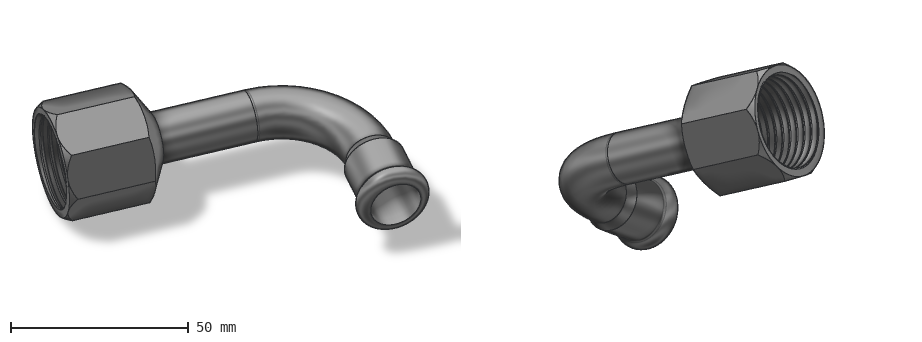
import cadquery as cq
import math

octagon_sides = 8
octagon_corner_radius = 17.3
octagon_tilt = 1.5
face_chamfer_length = 2.0
shoulder_start = 25.1
shoulder_end = 31.0
apothem = octagon_corner_radius * math.cos(math.pi / octagon_sides)

tube_radius = 15.0 / 2
bore_radius = 12.0 / 2
wall = tube_radius - bore_radius

thread_minor_radius = 26.9 / 2
thread_depth = 1.1
thread_pitch = 2.5
thread_turns = 9
groove_mouth_width = 2.0
groove_root_width = 0.1
thread_start_angle = 165
cutter_overlap = 0.2
inner_cone_slope = (shoulder_end - shoulder_start) / (octagon_corner_radius - tube_radius)
inner_cone_end = shoulder_end - wall
inner_cone_start = inner_cone_end - inner_cone_slope * (thread_minor_radius - bore_radius)

bend_radius = 26.5
bead_outer_radius = 10.7
overall_length = 96.8
overall_width = 65.3
stub_length = 0.6
press_axis_y = overall_length - bead_outer_radius
bend_start_y = press_axis_y - bend_radius
joint_y = bend_start_y - stub_length
press_radius = 17.9 / 2
press_cone_length = 3.0
press_end_x = overall_width - octagon_corner_radius * math.cos(math.radians(octagon_tilt))
bead_tube_radius = 3.0
bead_fillet = 0.9


def revolve_about_y(points):
    """Revolve a closed outline of (radius, y) points about the Y axis."""
    return cq.Workplane("XY").polyline(points).close().revolve(360, (0, 0, 0), (0, 1, 0))


def octagon_prism():
    corners = []
    for side in range(octagon_sides):
        angle = math.radians(octagon_tilt + side * 360 / octagon_sides)
        corners.append((octagon_corner_radius * math.cos(angle), octagon_corner_radius * math.sin(angle)))
    return cq.Workplane("XZ").polyline(corners).close().extrude(-shoulder_end)


def thread_groove():
    """Helical trapezoid groove that starts outside the face and runs into the socket."""
    inner = thread_minor_radius - cutter_overlap
    root = thread_minor_radius + thread_depth
    flank_run = (groove_mouth_width - groove_root_width) / 2
    inner_half = groove_mouth_width / 2 + flank_run * cutter_overlap / thread_depth
    root_half = groove_root_width / 2
    helix = cq.Wire.makeHelix(thread_pitch, thread_pitch * thread_turns, thread_minor_radius)
    outline = [(inner, -inner_half), (root, -root_half), (root, root_half), (inner, inner_half)]
    groove = cq.Workplane("XZ").polyline(outline).close().sweep(cq.Workplane(helix), isFrenet=True)
    groove = groove.rotate((0, 0, 0), (0, 0, 1), thread_start_angle)
    return groove.rotate((0, 0, 0), (1, 0, 0), -90).translate((0, -thread_pitch, 0))


def make_socket():
    envelope = revolve_about_y([
        (0, 0),
        (apothem, 0),
        (octagon_corner_radius, face_chamfer_length),
        (octagon_corner_radius, shoulder_start),
        (tube_radius, shoulder_end),
        (0, shoulder_end),
    ])
    tube = cq.Workplane("XZ").circle(tube_radius).extrude(-joint_y)
    cavity = revolve_about_y([
        (0, 0),
        (thread_minor_radius, 0),
        (thread_minor_radius, inner_cone_start),
        (bore_radius, inner_cone_end),
        (bore_radius, joint_y),
        (0, joint_y),
    ])
    return octagon_prism().intersect(envelope).union(tube).cut(cavity).cut(thread_groove())


def bent_rod(radius):
    """Round rod from the joint, through the stub and the quarter bend."""
    arc_middle = bend_radius * math.sqrt(0.5)
    path = (
        cq.Workplane("XY").moveTo(0, joint_y)
        .lineTo(0, bend_start_y)
        .threePointArc((bend_radius - arc_middle, bend_start_y + arc_middle), (bend_radius, press_axis_y))
    )
    return cq.Workplane("XZ", origin=(0, joint_y, 0)).circle(radius).sweep(path)


def revolve_about_press_axis(outline):
    return outline.close().revolve(360, (0, 0, 0), (1, 0, 0))


def make_elbow():
    cylinder_start = bend_radius + press_cone_length
    bead_x = press_end_x - bead_tube_radius
    bead_centre_radius = bead_outer_radius - bead_tube_radius
    fillet_centre_radius = press_radius + bead_fillet
    fillet_x = bead_x - math.sqrt(
        (bead_tube_radius + bead_fillet) ** 2 - (fillet_centre_radius - bead_centre_radius) ** 2)
    share = bead_tube_radius / (bead_tube_radius + bead_fillet)
    tangent = (
        bead_x + share * (fillet_x - bead_x),
        bead_centre_radius + share * (fillet_centre_radius - bead_centre_radius),
    )
    fillet_angle = math.atan2(tangent[1] - fillet_centre_radius, tangent[0] - fillet_x)
    fillet_middle_angle = (fillet_angle - math.pi / 2) / 2
    fillet_middle = (
        fillet_x + bead_fillet * math.cos(fillet_middle_angle),
        fillet_centre_radius + bead_fillet * math.sin(fillet_middle_angle),
    )
    press_plane = cq.Workplane("XY", origin=(0, press_axis_y, 0))
    press_end = revolve_about_press_axis(
        press_plane.moveTo(bend_radius, 0)
        .lineTo(bend_radius, tube_radius)
        .lineTo(cylinder_start, press_radius)
        .lineTo(fillet_x, press_radius)
        .threePointArc(fillet_middle, tangent)
        .threePointArc((bead_x, bead_outer_radius), (press_end_x, bead_centre_radius))
        .lineTo(press_end_x, 0)
    )
    press_bore = revolve_about_press_axis(
        press_plane.moveTo(bend_radius, 0)
        .lineTo(bend_radius, bore_radius)
        .lineTo(cylinder_start, press_radius - wall)
        .lineTo(press_end_x, press_radius - wall)
        .lineTo(press_end_x, 0)
    )
    return bent_rod(tube_radius).union(press_end).cut(bent_rod(bore_radius)).cut(press_bore)


socket = make_socket()
elbow = make_elbow()
result = cq.Compound.makeCompound([socket.val(), elbow.val()])